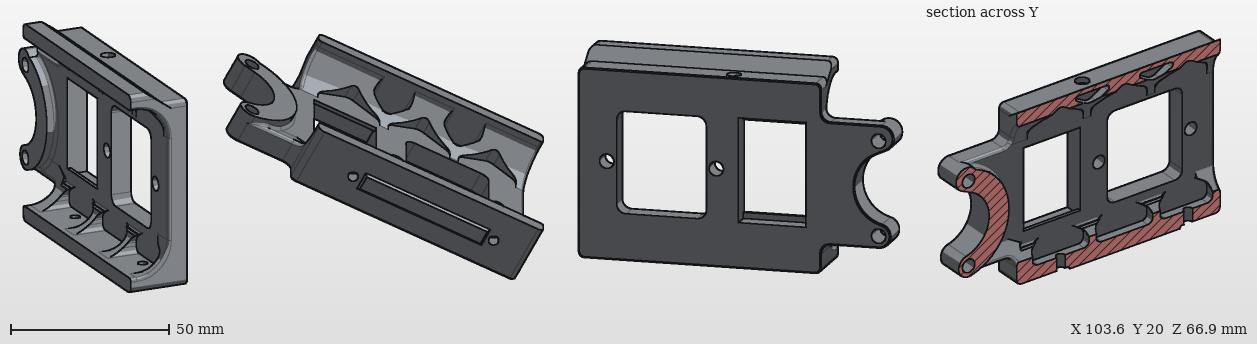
import cadquery as cq
import math


overall_length = 103.6
frame_length = 79.8
frame_height = 66.0
depth = 20.0
floor_thickness = 6.9
flange_thickness = 5.0
channel_radius = 11.0
corner_radius = 2.0
back_chamfer = 0.4
channel_end_fillet = 1.0

step_drop = 3.9
step_crest_depth = 5.6
step_foot_depth = 11.2

arm_top = 49.8
arm_corner_radius = 3.0

hook_thickness = 10.4
hook_inner_radius = 12.0
hook_outer_radius = 20.0
hook_x = -22.9
hook_z = 29.1
hook_end_angle = 75.3
hook_base_fillet = 1.0
ear_radius = 4.2
hole_diameter = 4.7

window_z = 32.0
small_window_x = 16.1
small_window_width = 22.2
small_window_height = 30.3
snap_ledge = 2.0
snap_thickness = 1.2
large_window_x = 52.4
large_window_width = 29.4
large_window_height = 33.4
large_window_radius = 3.0
plate_hole_spacing = 36.0

cell_pitch = 25.0
cell_width = 22.0
cell_radius = 3.0
first_cell_x = 17.3
first_row_z = 3.6
pocket_foot_radius = 2.0
pocket_crown_radius = 0.9
last_pocket_right = 76.7

recess_left = 3.1
recess_right = 72.9
recess_bottom = 11.6
recess_top = 20.7
recess_fillet = 0.8
rim_bevel_start = 0.5
rim_bevel = 0.7

pad_left = 20.3
pad_length = 44.3
pad_width = 6.2
pad_height = 0.9
pad_bevel = 0.7
pad_front_gap = 7.0
pin_diameter = 3.2
pin_front_gap = 10.1
top_hole_back_gap = 4.4
top_hole_depth = 2.1

overlap = 0.2
tolerance = 0.02

floor_y = -floor_thickness
lip_y = -floor_thickness - channel_radius
lower_lip_z = flange_thickness
upper_lip_z = frame_height - flange_thickness
lower_centre_z = lower_lip_z + channel_radius
upper_centre_z = upper_lip_z - channel_radius
step_z = frame_height - step_drop
row_pitch = cell_pitch * math.sqrt(3) / 2
hook_mid_radius = (hook_inner_radius + hook_outer_radius) / 2
ear_x = frame_length - overall_length + ear_radius
ear_z = arm_top - ear_radius
tip_radius = (hook_outer_radius - hook_inner_radius) / 2
tip_x = hook_x + hook_mid_radius * math.cos(math.radians(hook_end_angle))
tip_z = hook_z - hook_mid_radius * math.sin(math.radians(hook_end_angle))
arm_bottom = tip_z - tip_radius


def channel_section():
    """Start the YZ section at the bottom of the back and trace it to the upper lip."""
    mid = channel_radius * (1 - math.sqrt(0.5))
    return (
        cq.Workplane("YZ")
        .lineTo(-depth, 0)
        .lineTo(-depth, lower_lip_z)
        .lineTo(lip_y, lower_lip_z)
        .threePointArc((floor_y - mid, lower_lip_z + mid), (floor_y, lower_centre_z))
        .lineTo(floor_y, upper_centre_z)
        .threePointArc((floor_y - mid, upper_lip_z - mid), (lip_y, upper_lip_z))
        .lineTo(-depth, upper_lip_z)
    )


def on_channel(point):
    """Whether a point lies on the channel surface, lip flats included."""
    if point.y < lip_y:
        offset = min(abs(point.z - lower_lip_z), abs(point.z - upper_lip_z))
    elif lower_centre_z < point.z < upper_centre_z:
        offset = abs(point.y - floor_y)
    else:
        centre_z = lower_centre_z if point.z < window_z else upper_centre_z
        offset = abs(math.hypot(point.y - lip_y, point.z - centre_z) - channel_radius)
    return offset < tolerance


def box(x_span, y_span, z_span):
    """Box between the given limits."""
    size = [high - low for low, high in (x_span, y_span, z_span)]
    return cq.Workplane("XY").box(*size, centered=False).translate((x_span[0], y_span[0], z_span[0]))


def frame_bar(height):
    """Frame section with a flat top at the given height, rounded at all four corners."""
    bar = channel_section().lineTo(-depth, height).lineTo(0, height).close().extrude(frame_length)
    return bar.faces("<Z or >Z").edges("|Y").fillet(corner_radius)


def frame_body():
    """Tall front lip sloping down to a lower bar behind it."""
    crest_y = step_crest_depth - depth
    foot_y = step_foot_depth - depth
    back_z = step_z + step_drop * foot_y / (foot_y - crest_y)
    above_slope = (
        cq.Workplane("YZ")
        .polyline([(crest_y, frame_height), (0, frame_height), (0, back_z)])
        .close()
        .extrude(frame_length)
    )
    return frame_bar(frame_height).cut(above_slope).union(frame_bar(step_z))


def arm_body():
    """Web between the frame and the hook, with the channel running on across it."""
    arm = (
        channel_section()
        .lineTo(0, upper_lip_z)
        .close()
        .extrude(overlap - ear_x)
        .translate((ear_x, 0, 0))
    )
    outline = (
        cq.Workplane("XZ")
        .polyline([(ear_x, arm_top), (overlap, arm_top), (overlap, arm_bottom), (tip_x, arm_bottom)])
        .close()
        .extrude(depth)
    )
    arm = arm.intersect(outline)
    mouth = cq.Workplane("XZ").center(hook_x, hook_z).circle(hook_mid_radius).extrude(depth)
    return arm.cut(mouth)


def round_arm_corners(body):
    """Round the inner corners where the arm meets the frame."""
    for z in (arm_bottom, arm_top):
        corner = cq.selectors.BoxSelector((-overlap, -depth, z - overlap), (overlap, 0, z + overlap))
        body = body.edges(corner).edges("|Y").fillet(arm_corner_radius)
    return body


def round_channel_ends(body):
    """Round the edges where the channel runs out at both ends and along the arm."""

    def is_channel_end(edge):
        point = edge.positionAt(0.5)
        on_front_face = point.y < overlap - depth
        clear_of_web = not arm_bottom + overlap < point.z < arm_top - overlap
        at_left = point.x < overlap and clear_of_web
        at_right = point.x > frame_length - overlap
        return on_channel(point) and not on_front_face and (at_left or at_right)

    ends = [edge for edge in body.edges().vals() if is_channel_end(edge)]
    return body.newObject(ends).fillet(channel_end_fillet)


def round_hook_base(body):
    """Fillet the foot of the hook where it stands on the channel surface."""

    def is_hook_base(edge):
        point = edge.positionAt(0.5)
        radius = math.hypot(point.x - hook_x, point.z - hook_z)
        return on_channel(point) and abs(radius - hook_outer_radius) < tolerance

    base = [edge for edge in body.edges().vals() if is_hook_base(edge)]
    return body.newObject(base).fillet(hook_base_fillet)


def chamfer_back(body):
    """Chamfer every edge of the back face."""
    return body.faces(">Y").edges().chamfer(back_chamfer)


def polar(radius, degrees):
    """Point around the hook centre."""
    angle = math.radians(degrees)
    return (hook_x + radius * math.cos(angle), hook_z + radius * math.sin(angle))


def hook_body():
    """Crescent hook: a round lower end and a larger upper ear tangent to the mouth."""
    ear_distance = math.hypot(ear_x - hook_x, ear_z - hook_z)
    ear_angle = math.degrees(math.atan2(ear_z - hook_z, ear_x - hook_x))
    tangent_angle = ear_angle - math.degrees(
        math.acos((hook_inner_radius + ear_radius) / ear_distance)
    )
    crossing_cosine = (ear_distance**2 + hook_outer_radius**2 - ear_radius**2) / (
        2 * ear_distance * hook_outer_radius
    )
    crossing_angle = ear_angle - math.degrees(math.acos(crossing_cosine))
    tangent = math.radians(tangent_angle)
    ear_tangent = (
        ear_x - ear_radius * math.cos(tangent),
        ear_z - ear_radius * math.sin(tangent),
    )
    tip_direction = math.radians(-hook_end_angle - 90)
    tip_end = (
        tip_x + tip_radius * math.cos(tip_direction),
        tip_z + tip_radius * math.sin(tip_direction),
    )
    return (
        cq.Workplane("XZ")
        .moveTo(*ear_tangent)
        .threePointArc((ear_x - ear_radius, ear_z), polar(hook_outer_radius, crossing_angle))
        .threePointArc(polar(hook_outer_radius, 0), polar(hook_outer_radius, -hook_end_angle))
        .threePointArc(tip_end, polar(hook_inner_radius, -hook_end_angle))
        .threePointArc(polar(hook_inner_radius, 0), polar(hook_inner_radius, tangent_angle))
        .close()
        .extrude(hook_thickness)
    )


def hexagon(x, z):
    """Upright hexagonal cutter standing on the channel floor."""
    reach = cell_width / math.sqrt(3)
    corners = []
    for k in range(6):
        angle = math.radians(90 + 60 * k)
        corners.append((x + reach * math.cos(angle), z + reach * math.sin(angle)))
    return cq.Workplane("XZ", origin=(0, floor_y, 0)).polyline(corners).close().extrude(depth)


def pocket(column, row):
    """Honeycomb cutter with rounded corners, kept between the flanges and off the right end."""
    x = first_cell_x + column * cell_pitch
    z = first_row_z + row * row_pitch
    span = box((x - cell_pitch, last_pocket_right), (-2 * depth, 0), (lower_lip_z, upper_lip_z))
    corners = cq.selectors.BoxSelector(
        (x - cell_pitch, -2 * depth, lower_lip_z + overlap),
        (x + cell_pitch, 0, upper_lip_z - overlap),
    )
    cell = hexagon(x, z).intersect(span).edges("|Y").edges(corners).fillet(cell_radius)
    if row == 0:
        cell = cell.faces("<Z").edges("|Y").fillet(pocket_foot_radius)
    if row == 3:
        cell = cell.faces(">Z").edges("|Y").fillet(pocket_crown_radius)
    return cell


def cut_pockets(body):
    """Honeycomb pockets; odd rows sit half a pitch over."""
    for row in range(4):
        columns = (0, 1, 2) if row % 2 == 0 else (0.5, 1.5)
        if row == 1:
            columns = (-0.5,) + columns
        for column in columns:
            body = body.cut(pocket(column, row))
    return body


def cut_recess(body):
    """Flat recess that trims the lower channel curve, with a bevelled lower rim."""
    recess = box((recess_left, recess_right), (-depth, floor_y), (recess_bottom, recess_top))
    recess = recess.faces(">Y").edges().fillet(recess_fillet)
    bevel_y = floor_y - rim_bevel_start
    rim = (
        cq.Workplane("YZ", origin=(recess_left, 0, 0))
        .moveTo(bevel_y, recess_bottom)
        .lineTo(bevel_y - rim_bevel, recess_bottom - rim_bevel)
        .lineTo(bevel_y - rim_bevel, recess_bottom)
        .close()
        .extrude(recess_right - recess_left)
    )
    return body.cut(recess).cut(rim)


def through_holes():
    """Windows and screw holes through the plate and the hook."""
    plate = cq.Workplane("XZ")
    cutter = (
        plate.center(small_window_x, window_z)
        .rect(small_window_width, small_window_height)
        .extrude(depth)
    )
    cutter = cutter.union(
        plate.center(large_window_x, window_z)
        .rect(large_window_width, large_window_height)
        .extrude(depth)
        .edges("|Y")
        .fillet(large_window_radius)
    )
    snap_height = small_window_height + 2 * snap_ledge
    snap = (
        plate.center(small_window_x, window_z)
        .rect(small_window_width, snap_height)
        .extrude(floor_thickness - snap_thickness)
    )
    cutter = cutter.union(snap)
    half_spacing = plate_hole_spacing / 2
    centres = [
        (large_window_x - half_spacing, window_z),
        (large_window_x + half_spacing, window_z),
        polar(hook_mid_radius, hook_end_angle),
        polar(hook_mid_radius, -hook_end_angle),
    ]
    return cutter.union(plate.pushPoints(centres).circle(hole_diameter / 2).extrude(depth))


def bottom_pad():
    """Raised pad under the frame, bevelled all round."""
    front_y = pad_front_gap - depth
    pad = box((pad_left, pad_left + pad_length), (front_y, front_y + pad_width), (-pad_height, overlap))
    return pad.faces("<Z").chamfer(pad_height, pad_bevel)


def flange_holes():
    """Pin holes through the lower flange and a blind hole in the top."""
    pin_points = [(first_cell_x + k * cell_pitch, pin_front_gap - depth) for k in (0, 2)]
    pins = (
        cq.Workplane("XY", origin=(0, 0, -pad_height))
        .pushPoints(pin_points)
        .circle(pin_diameter / 2)
        .extrude(pad_height + lower_lip_z + overlap)
    )
    top_hole = (
        cq.Workplane("XY", origin=(first_cell_x + cell_pitch / 2, -top_hole_back_gap, step_z))
        .circle(hole_diameter / 2)
        .extrude(-top_hole_depth)
    )
    return pins.union(top_hole)


body = round_arm_corners(frame_body().union(arm_body()))
body = round_channel_ends(body)
body = cut_pockets(cut_recess(body))
body = chamfer_back(body).union(chamfer_back(hook_body()))
body = round_hook_base(body)
result = body.cut(through_holes()).union(bottom_pad()).cut(flange_holes())